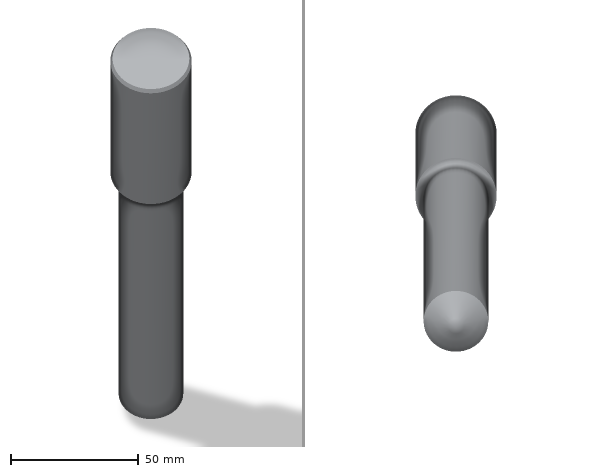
import cadquery as cq
import math

total_length = 225.0
shank_radius = 16.0
drill_radius = 12.71
point_angle = 120.0

shank_length = 73.5
joint_depth = 80.3

chamfer_height = 1.5
chamfer_width = 1.0
neck_fillet = 2.7

shoulder_z = total_length - shank_length
joint_z = total_length - joint_depth
point_height = drill_radius / math.tan(math.radians(point_angle / 2))


def make_shank():
    """Chamfered shank with a filleted step down to a short neck."""
    fillet_center_x = drill_radius + neck_fillet
    fillet_center_z = shoulder_z - neck_fillet
    fillet_mid_offset = neck_fillet * math.sqrt(0.5)
    return (
        cq.Workplane("XZ")
        .moveTo(0, joint_z)
        .lineTo(drill_radius, joint_z)
        .lineTo(drill_radius, fillet_center_z)
        .threePointArc(
            (fillet_center_x - fillet_mid_offset, fillet_center_z + fillet_mid_offset),
            (fillet_center_x, shoulder_z),
        )
        .lineTo(shank_radius, shoulder_z)
        .lineTo(shank_radius, total_length - chamfer_height)
        .lineTo(shank_radius - chamfer_width, total_length)
        .lineTo(0, total_length)
        .close()
        .revolve(360, (0, 0, 0), (0, 1, 0))
    )


def make_drill():
    """Cylindrical drill body with a conical point, meeting the neck at the joint."""
    return (
        cq.Workplane("XZ")
        .polyline([(0, 0), (drill_radius, point_height), (drill_radius, joint_z), (0, joint_z)])
        .close()
        .revolve(360, (0, 0, 0), (0, 1, 0))
    )


shank = make_shank()
drill = make_drill()

result = cq.Compound.makeCompound([shank.val(), drill.val()])